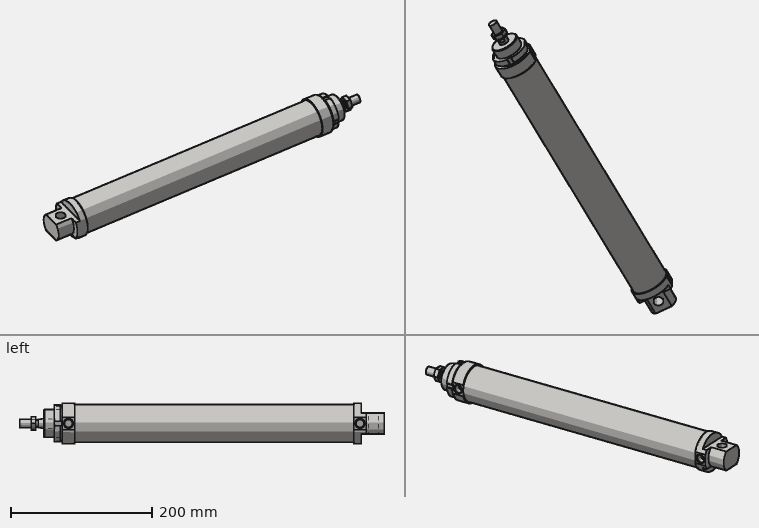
import cadquery as cq
import math

total_length = 517.0

tube_radius = 27.0
cap_radius = 29.0
cap_length = 17.5
rear_cap_start = 26.0
rear_cap_end = rear_cap_start + cap_length
front_cap_start = 439.0
front_cap_end = front_cap_start + cap_length
nose_diameter = 40.0
nose_radius = nose_diameter / 2
nose_end = 482.5
nose_chamfer = 1.0

lug_thickness = 30.0
lug_flat_end = 32.5
lug_hole_diameter = 14.0
lug_hole_y = 16.0

port_flat_side = cap_length
port_diameter = 11.5
port_chamfer = 1.0
port_depth = 10.5

rod_diameter = 14.0
rod_radius = rod_diameter / 2
rod_shoulder = 490.5
rod_seat_depth = 15.5
rod_flat_across = 12.5
rod_flat_length = 4.5
neck_radius = 5.0
stud_radius = 6.0

rod_nut_across_flats = 19.0
rod_nut_start = 493.5
rod_nut_end = 500.5

mounting_nut_radius = 26.5
mounting_nut_end = 468.0
mounting_nut_chamfer = 2.5
spanner_slot_width = 6.0
spanner_slot_depth = 2.0
spanner_slot_count = 4


def disc(radius, y_start, y_end):
    """Solid cylinder about the Y axis between two Y positions."""
    base = cq.Plane(origin=(0, y_start, 0), xDir=(-1, 0, 0), normal=(0, 1, 0))
    return cq.Workplane(base).circle(radius).extrude(y_end - y_start)


def make_lug_flats():
    """Two blocks that leave the rear lug as a slab centred on Z = 0."""
    block_height = cap_radius
    block = cq.Workplane("XY").box(
        2 * cap_radius, lug_flat_end, block_height, centered=(True, False, False)
    )
    upper = block.translate((0, 0, lug_thickness / 2))
    return upper.union(upper.mirror("XY"))


def make_port(y_start):
    """Square flat on a cap's -X side, with a blind chamfered port in its middle."""
    flat_x = -math.sqrt(cap_radius**2 - (port_flat_side / 2) ** 2)
    flat = cq.Workplane("XY").box(
        cap_radius, port_flat_side, 2 * cap_radius, centered=(True, False, True)
    )
    flat = flat.translate((flat_x - cap_radius / 2, y_start, 0))
    port_plane = cq.Workplane("YZ", origin=(flat_x, y_start + port_flat_side / 2, 0))
    bore = port_plane.circle(port_diameter / 2).extrude(port_depth)
    mouth = port_plane.circle(port_diameter / 2 + port_chamfer).extrude(port_chamfer, taper=45)
    return flat.union(bore).union(mouth)


def make_housing():
    nose = disc(nose_radius, front_cap_end, nose_end).faces(">Y").chamfer(nose_chamfer)
    body = (
        disc(nose_radius, 0, rear_cap_start)
        .union(disc(cap_radius, rear_cap_start, rear_cap_end))
        .union(disc(tube_radius, rear_cap_end, front_cap_start))
        .union(disc(cap_radius, front_cap_start, front_cap_end))
        .union(nose)
    )
    lug_hole = cq.Workplane("XY").center(0, lug_hole_y).circle(lug_hole_diameter / 2)
    return (
        body.cut(make_lug_flats())
        .cut(lug_hole.extrude(lug_thickness, both=True))
        .cut(make_port(rear_cap_start))
        .cut(make_port(front_cap_start))
        .cut(disc(rod_radius, nose_end - rod_seat_depth, nose_end))
    )


def make_rod():
    rod = disc(rod_radius, nose_end - rod_seat_depth, rod_shoulder)
    flats = cq.Workplane("XY").box(
        2 * rod_radius, rod_flat_length, rod_flat_across, centered=(True, False, True)
    )
    flat_start = rod_shoulder - rod_flat_length
    flatted_end = disc(rod_radius, flat_start, rod_shoulder)
    waste = flatted_end.cut(flats.translate((0, flat_start, 0)))
    return (
        rod.cut(waste)
        .union(disc(neck_radius, rod_shoulder, rod_nut_start))
        .union(disc(stud_radius, rod_nut_start, total_length))
    )


def make_rod_nut():
    across_corners = rod_nut_across_flats / math.cos(math.pi / 6)
    hexagon = cq.Workplane("XZ", origin=(0, rod_nut_start, 0)).polygon(6, across_corners)
    nut = hexagon.extrude(rod_nut_start - rod_nut_end)
    return nut.cut(disc(stud_radius, rod_nut_start, rod_nut_end))


def make_mounting_nut():
    nut = disc(mounting_nut_radius, front_cap_end, mounting_nut_end)
    nut = nut.faces("<Y").chamfer(mounting_nut_chamfer)
    nut = nut.cut(disc(nose_radius, front_cap_end, mounting_nut_end))
    slot = cq.Workplane("XY").box(
        spanner_slot_width,
        mounting_nut_end - front_cap_end,
        2 * spanner_slot_depth,
        centered=(True, False, True),
    )
    slot = slot.translate((0, front_cap_end, mounting_nut_radius))
    for index in range(spanner_slot_count):
        angle = index * 360 / spanner_slot_count
        nut = nut.cut(slot.rotate((0, 0, 0), (0, 1, 0), angle))
    return nut


housing = make_housing()
rod = make_rod()
rod_nut = make_rod_nut()
mounting_nut = make_mounting_nut()

result = cq.Compound.makeCompound(
    [housing.val(), rod.val(), rod_nut.val(), mounting_nut.val()]
)